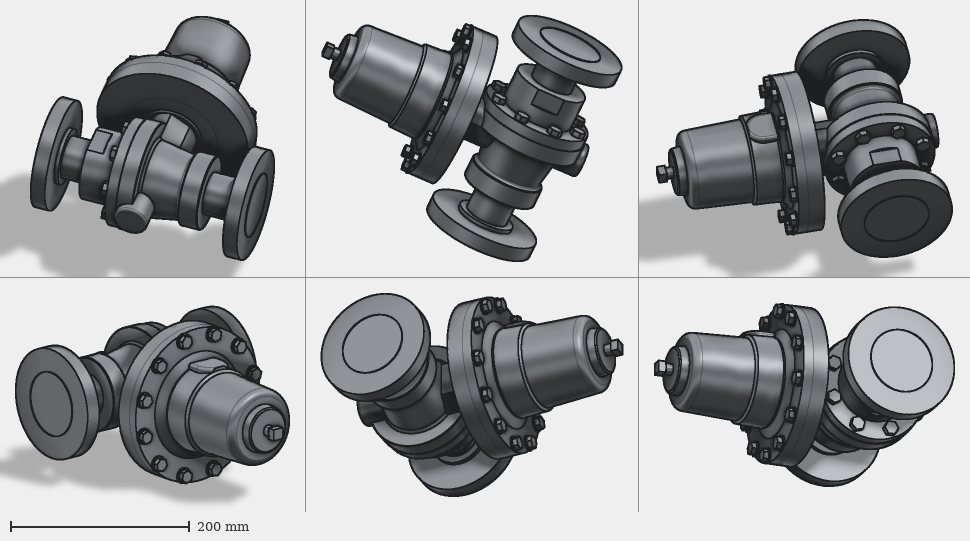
import cadquery as cq
import math


inlet_face_x = -120.5
outlet_face_x = 125.7
raised_face_height = 1.0
raised_face_radius = 36.8
end_flange_radius = 127.3 / 2
end_flange_thickness = 16.8
collar_radius = 32.5
collar_length = 4.8
pipe_radius = 24.5

inlet_body_x = -70.0
inlet_body_radius = 41.5
wrench_flat_height = 38.5
wrench_flat_length = 19.5
cover_x = -31.8
cover_radius = 62.5
body_flange_x = -19.0
body_flange_radius = end_flange_radius
body_flange_edge = 0.5
cone_root_radius = 47.5
cone_start_x = 3.2
cone_start_radius = 44.8
cone_end_x = 43.2
cone_end_radius = 37.8
ring_flare_radius = 41.5
ring_start_x = 47.0
ring_end_x = 70.0
ring_radius = 85.5 / 2
ring_edge = 1.0

cover_bolt_count = 8
cover_bolt_circle_radius = 52.5
cover_bolt_corner_radius = 8.3
cover_bolt_head_height = 6.7
cover_bolt_twist = 7.5
case_bolt_count = 12
case_bolt_circle_radius = 81.5
case_bolt_corner_radius = 7.5
case_bolt_head_height = 7.5
case_washer_radius = 9.0
case_washer_thickness = 1.5

boss_radius = 19.5
boss_end_y = -70.2
boss_edge_radius = 3.2

neck_half_height = 33.0
neck_inlet_flat_x = -23.2
neck_inlet_flat_half_height = 7.3
neck_outlet_radius = 30.0
neck_outlet_arc_x = 22.2
neck_top_y = 71.0

hub_rim_radius = 52.0
hub_root_radius = 35.0
hub_tip_radius = 33.0
hub_root_y = 73.7
case_bottom_y = 75.5
case_split_y = 94.0
case_top_y = 105.5
case_radius = 179.5 / 2
case_top_radius = 89.5
foot_radius = 62.0
foot_root_radius = 50.5
skirt_bottom_y = 115.0
skirt_bottom_radius = 51.8
skirt_lip_height = 2.5
skirt_top_y = 144.8
skirt_top_radius = 50.5
barrel_bottom_y = 147.3
barrel_bottom_radius = 47.0
barrel_top_y = 210.0
barrel_top_radius = 44.5
shoulder_y = 218.8
shoulder_radius = 36.8
cap_base_radius = 28.0
cap_side_y = 228.3
cap_side_radius = 26.5
cap_top_y = 230.0
cap_top_radius = 24.5
stem_width = 13.0
stem_square_y = 238.5
stem_top_y = 247.3

pad_half_width = 19.7
pad_arc_y = 127.5
pad_bottom_y = 111.5
pad_top_z = 54.3
pad_edge_radius = 3.8
pad_foot_chamfer = 2.5


def cylinder_x(start, end, radius):
    return cq.Workplane("YZ", origin=(start, 0, 0)).circle(radius).extrude(end - start)


def cylinder_y(start, end, radius):
    return cq.Workplane("XZ", origin=(0, start, 0)).circle(radius).extrude(start - end)


def end_connection(face_x, body_x):
    """Raised-face flange, collar and pipe stub reaching from face_x inward to body_x."""
    inward = math.copysign(1, body_x - face_x)
    flange_front_x = face_x + inward * raised_face_height
    flange_back_x = flange_front_x + inward * end_flange_thickness
    collar_back_x = flange_back_x + inward * collar_length
    stub = cylinder_x(face_x, flange_back_x, raised_face_radius)
    stub = stub.union(cylinder_x(flange_front_x, flange_back_x, end_flange_radius))
    stub = stub.union(cylinder_x(flange_back_x, collar_back_x, collar_radius))
    return stub.union(cylinder_x(collar_back_x, body_x, pipe_radius))


def inlet_body():
    """Round body with a wrench flat on its top and bottom."""
    body = cylinder_x(inlet_body_x, cover_x, inlet_body_radius)
    cutter_depth = inlet_body_radius
    for side in (1, -1):
        cutter = cq.Workplane("XY").box(
            wrench_flat_length, 2 * inlet_body_radius, cutter_depth
        ).translate((
            inlet_body_x + wrench_flat_length / 2,
            0,
            side * (wrench_flat_height + cutter_depth / 2),
        ))
        body = body.cut(cutter)
    return body


def outlet_body():
    """Cover, body flange, tapered bowl and outlet ring, turned about X."""
    profile = (
        cq.Workplane("XY")
        .moveTo(cover_x, 0)
        .lineTo(cover_x, cover_radius)
        .lineTo(body_flange_x, cover_radius)
        .lineTo(body_flange_x, body_flange_radius)
        .lineTo(-body_flange_edge, body_flange_radius)
        .lineTo(0, body_flange_radius - body_flange_edge)
        .lineTo(0, cone_root_radius)
        .lineTo(cone_start_x, cone_start_radius)
        .lineTo(cone_end_x, cone_end_radius)
        .radiusArc((ring_start_x, ring_flare_radius), -(ring_start_x - cone_end_x))
        .lineTo(ring_start_x + ring_edge, ring_radius)
        .lineTo(ring_end_x - ring_edge, ring_radius)
        .lineTo(ring_end_x, ring_radius - ring_edge)
        .lineTo(ring_end_x, 0)
        .close()
    )
    return profile.revolve(360, (0, 0, 0), (1, 0, 0))


def hex_head(corner_radius, height):
    """Hexagonal head standing on the XY plane with one corner toward +X."""
    return cq.Workplane("XY").polygon(6, 2 * corner_radius).extrude(height)


def cover_bolts():
    heads = cq.Workplane("XY")
    for index in range(cover_bolt_count):
        angle = (index + 0.5) * 360 / cover_bolt_count
        head = (
            hex_head(cover_bolt_corner_radius, cover_bolt_head_height)
            .rotate((0, 0, 0), (0, 0, 1), cover_bolt_twist)
            .translate((cover_bolt_circle_radius, 0, 0))
            .rotate((0, 0, 0), (0, 0, 1), angle)
            .rotate((0, 0, 0), (0, 1, 0), -90)
            .translate((cover_x, 0, 0))
        )
        heads = heads.union(head)
    return heads


def case_bolts():
    heads = cq.Workplane("XY")
    washer = cq.Workplane("XY").circle(case_washer_radius).extrude(case_washer_thickness)
    bolt = hex_head(case_bolt_corner_radius, case_bolt_head_height).union(washer)
    for index in range(case_bolt_count):
        angle = (index + 0.5) * 360 / case_bolt_count
        head = (
            bolt.translate((case_bolt_circle_radius, 0, 0))
            .rotate((0, 0, 0), (0, 0, 1), angle)
            .rotate((0, 0, 0), (1, 0, 0), -90)
            .translate((0, case_top_y, 0))
        )
        heads = heads.union(head)
    return heads


def drain_boss():
    return cylinder_y(boss_end_y, 0, boss_radius).faces("<Y").edges().fillet(boss_edge_radius)


def neck():
    """Rounded toward the inlet, tapering by two slanted flats to a wider arc on the outlet side."""
    inlet_arc_rise = neck_half_height - neck_inlet_flat_half_height
    inlet_arc_radius = (neck_inlet_flat_x**2 + inlet_arc_rise**2) / (2 * inlet_arc_rise)
    outlet_arc_z = math.sqrt(neck_outlet_radius**2 - neck_outlet_arc_x**2)
    section = (
        cq.Workplane("XZ")
        .moveTo(0, neck_half_height)
        .lineTo(neck_outlet_arc_x, outlet_arc_z)
        .threePointArc((neck_outlet_radius, 0), (neck_outlet_arc_x, -outlet_arc_z))
        .lineTo(0, -neck_half_height)
        .radiusArc((neck_inlet_flat_x, -neck_inlet_flat_half_height), inlet_arc_radius)
        .lineTo(neck_inlet_flat_x, neck_inlet_flat_half_height)
        .radiusArc((0, neck_half_height), inlet_arc_radius)
        .close()
    )
    return section.extrude(-case_bottom_y)


def actuator():
    """Diaphragm case, spring housing and cap, turned about Y, with a square-ended stem."""
    profile = (
        cq.Workplane("XY")
        .moveTo(0, neck_top_y)
        .lineTo(hub_tip_radius, neck_top_y)
        .lineTo(hub_root_radius, hub_root_y)
        .lineTo(hub_rim_radius, case_bottom_y)
        .lineTo(case_radius, case_bottom_y)
        .lineTo(case_radius, case_split_y)
        .lineTo(case_top_radius, case_top_y)
        .lineTo(foot_radius, case_top_y)
        .lineTo(foot_root_radius, skirt_bottom_y - skirt_lip_height)
        .lineTo(skirt_bottom_radius, skirt_bottom_y)
        .lineTo(skirt_top_radius, skirt_top_y)
        .lineTo(barrel_bottom_radius, barrel_bottom_y)
        .lineTo(barrel_top_radius, barrel_top_y)
        .radiusArc((shoulder_radius, shoulder_y), -(shoulder_y - barrel_top_y))
        .lineTo(cap_base_radius, shoulder_y)
        .lineTo(cap_side_radius, cap_side_y)
        .lineTo(cap_top_radius, cap_top_y)
        .lineTo(0, cap_top_y)
        .close()
    )
    turned = profile.revolve(360, (0, 0, 0), (0, 1, 0))
    stem = cylinder_y(cap_top_y, stem_square_y, stem_width / 2)
    square_end = (
        cq.Workplane("XZ", origin=(0, stem_square_y, 0))
        .rect(stem_width, stem_width)
        .extrude(stem_square_y - stem_top_y)
    )
    return turned.union(stem).union(square_end)


def skirt_pad():
    """Arched pad with a rounded upper edge, cut off level with the top of the skirt."""
    skirt_space = cylinder_y(case_top_y, skirt_top_y, case_radius)
    arch = (
        cq.Workplane("XY")
        .moveTo(-pad_half_width, pad_bottom_y)
        .lineTo(pad_half_width, pad_bottom_y)
        .lineTo(pad_half_width, pad_arc_y)
        .threePointArc((0, pad_arc_y + pad_half_width), (-pad_half_width, pad_arc_y))
        .close()
        .extrude(pad_top_z)
        .faces(">Z").edges("not <Y").fillet(pad_edge_radius)
        .faces(">Z").edges("<Y").chamfer(pad_foot_chamfer)
    )
    return arch.intersect(skirt_space)


result = outlet_body()
for piece in (
    inlet_body(),
    end_connection(inlet_face_x, inlet_body_x),
    end_connection(outlet_face_x, ring_end_x),
    cover_bolts(),
    drain_boss(),
    neck(),
    actuator(),
    case_bolts(),
    skirt_pad(),
):
    result = result.union(piece)